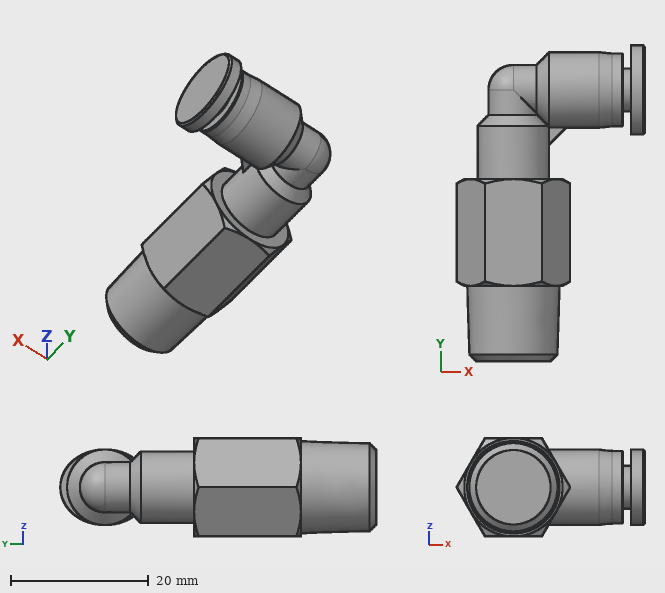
import cadquery as cq
import math


bend_radius = 3.65
stud_leg_radius = 10.4 / 2
tube_leg_radius = 11.0 / 2
lip_radius = 10.6 / 2
shoulder = stud_leg_radius
taper_start = 12.4
taper_end = 14.35
mouth = 15.9
mouth_chamfer = 0.15

gusset_reach = 13.15
gusset_thickness = 1.0

hex_flats = 14.29
hex_length = 15.5
hex_start = 12.95
hex_face_radius = hex_flats / 2
hex_chamfer_angle = 30
thread_length = 10.95
thread_root_radius = 6.72
thread_taper = 1 / 16
thread_chamfer = 1.0

neck_radius = 6.3 / 2
collar_width = 13.0
collar_height = 11.0
collar_start = 17.05
collar_end = 19.1
collar_chamfer = 0.3


def turned_about_x(profile):
    """Revolve (axial, radial) points about the tube axis."""
    return cq.Workplane("XY").polyline(profile).close().revolve(360, (0, 0), (1, 0))


def turned_about_y(profile):
    """Revolve (distance along -Y, radial) points about the stud axis."""
    points = [(radius, -distance) for distance, radius in profile]
    return cq.Workplane("XY").polyline(points).close().revolve(360, (0, 0), (0, 1))


def make_elbow():
    ball = cq.Workplane("XY").sphere(bend_radius)
    tube_leg = turned_about_x([
        (0, 0),
        (0, bend_radius),
        (shoulder - (tube_leg_radius - bend_radius), bend_radius),
        (shoulder, tube_leg_radius),
        (taper_start, tube_leg_radius),
        (taper_end, lip_radius),
        (mouth - mouth_chamfer, lip_radius),
        (mouth, lip_radius - mouth_chamfer),
        (mouth, 0),
    ])
    stud_leg = turned_about_y([
        (0, 0),
        (0, bend_radius),
        (shoulder - (stud_leg_radius - bend_radius), bend_radius),
        (shoulder, stud_leg_radius),
        (hex_start, stud_leg_radius),
        (hex_start, 0),
    ])
    gusset = (
        cq.Workplane("XY")
        .polyline([
            (0, 0),
            (gusset_reach - bend_radius, -bend_radius),
            (bend_radius, bend_radius - gusset_reach),
        ])
        .close()
        .extrude(gusset_thickness / 2, both=True)
    )
    return tube_leg.union(stud_leg).union(ball).union(gusset)


def make_stud():
    hex_corner_radius = hex_flats / math.sqrt(3)
    hex_end = hex_start + hex_length
    corner_drop = (hex_corner_radius - hex_face_radius) * math.tan(math.radians(hex_chamfer_angle))
    prism = (
        cq.Workplane("XZ", origin=(0, -hex_start, 0))
        .polygon(6, 2 * hex_corner_radius)
        .extrude(hex_length)
    )
    corner_turning = turned_about_y([
        (hex_start, 0),
        (hex_start, hex_face_radius),
        (hex_start + corner_drop, hex_corner_radius),
        (hex_end - corner_drop, hex_corner_radius),
        (hex_end, hex_face_radius),
        (hex_end, 0),
    ])
    taper_length = thread_length - thread_chamfer
    thread_tip_radius = thread_root_radius - taper_length * thread_taper / 2
    thread = turned_about_y([
        (hex_end, 0),
        (hex_end, thread_root_radius),
        (hex_end + taper_length, thread_tip_radius),
        (hex_end + thread_length, thread_tip_radius - thread_chamfer),
        (hex_end + thread_length, 0),
    ])
    return prism.intersect(corner_turning).union(thread)


def make_release_ring():
    neck = cq.Workplane("YZ", origin=(mouth, 0, 0)).circle(neck_radius).extrude(collar_start - mouth)
    collar = (
        cq.Workplane("YZ", origin=(collar_start, 0, 0))
        .ellipse(collar_width / 2, collar_height / 2)
        .extrude(collar_end - collar_start)
        .faces(">X")
        .chamfer(collar_chamfer)
    )
    return neck.union(collar)


elbow = make_elbow()
stud = make_stud()
release_ring = make_release_ring()

result = cq.Compound.makeCompound([elbow.val(), stud.val(), release_ring.val()])